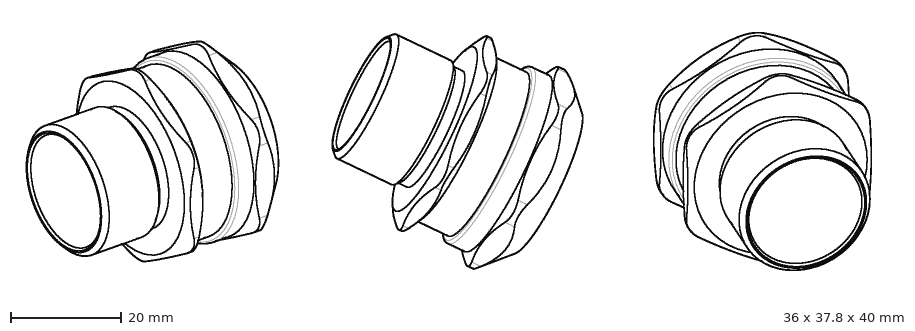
import cadquery as cq
import math


spigot_length = 15.0
spigot_radius = 25.0 / 2
spigot_end_chamfer = 1.0
groove_length = 2.0
groove_radius = 23.4 / 2
groove_runout = spigot_radius - groove_radius

recess_mouth_radius = 22.4 / 2
recess_floor_radius = 21.6 / 2
recess_depth = 0.5

body_hex_width = 35.0
body_hex_length = 4.0
body_radius = 33.0 / 2
body_length = 6.75

collar_radius = 35.5 / 2
collar_length = 4.0
collar_fillet = 0.5
nut_hex_width = 36.0
nut_hex_length = 8.0
nut_back_radius = 28.9 / 2
nut_taper_angle = 45.0

hex_sides = 6
half_sector = 180 / hex_sides
hex_corner_radius = 5.0
hex_chamfer_angle = 30.0

spigot_end = -spigot_length
body_hex_back = body_hex_length
collar_front = body_hex_back + body_length
collar_back = collar_front + collar_length
nut_back = collar_back + nut_hex_length


def revolve_profile(points):
    """Turn an outline of (radius, y) points about the Y axis."""
    return cq.Workplane("XY").polyline(points).close().revolve(360, (0, 0, 0), (0, 1, 0))


def cylinder(radius, y_start, y_end):
    return revolve_profile([(0, y_start), (radius, y_start), (radius, y_end), (0, y_end)])


def turned_hexagon(width, y_start, y_end, front_radius, front_angle, back_radius, back_angle):
    """Hexagon with rounded corners and flats facing X, turned conically at both ends.

    Each cone starts at its end radius and runs outward at its angle from the end face.
    """
    length = y_end - y_start
    corner_diameter = width / math.cos(math.radians(half_sector))
    prism = (
        cq.Workplane("XZ", origin=(0, y_end, 0))
        .transformed(rotate=(0, 0, half_sector))
        .polygon(hex_sides, corner_diameter)
        .extrude(length)
        .edges("|Y")
        .fillet(hex_corner_radius)
    )
    front_slope = math.tan(math.radians(front_angle))
    back_slope = math.tan(math.radians(back_angle))
    front_cone = revolve_profile([
        (0, y_start),
        (front_radius, y_start),
        (front_radius + length / front_slope, y_end),
        (0, y_end),
    ])
    back_cone = revolve_profile([
        (0, y_start),
        (back_radius + length / back_slope, y_start),
        (back_radius, y_end),
        (0, y_end),
    ])
    return prism.intersect(front_cone).intersect(back_cone)


def make_spigot():
    groove_end = -groove_length
    spigot = revolve_profile([
        (0, spigot_end),
        (spigot_radius - spigot_end_chamfer, spigot_end),
        (spigot_radius, spigot_end + spigot_end_chamfer),
        (spigot_radius, groove_end - groove_runout),
        (groove_radius, groove_end),
        (groove_radius, 0),
        (0, 0),
    ])
    recess = revolve_profile([
        (0, spigot_end),
        (recess_mouth_radius, spigot_end),
        (recess_floor_radius, spigot_end + recess_depth),
        (0, spigot_end + recess_depth),
    ])
    return spigot.cut(recess)


def make_body():
    hexagon = turned_hexagon(
        body_hex_width, 0, body_hex_back,
        body_radius, hex_chamfer_angle, body_radius, hex_chamfer_angle,
    )
    return hexagon.union(cylinder(body_radius, body_hex_back, collar_front))


def make_cap_nut():
    collar = cylinder(collar_radius, collar_front, collar_back)
    collar = collar.faces("<Y").edges().fillet(collar_fillet)
    hexagon = turned_hexagon(
        nut_hex_width, collar_back, nut_back,
        collar_radius, hex_chamfer_angle, nut_back_radius, nut_taper_angle,
    )
    return collar.union(hexagon)


result = make_spigot().union(make_body()).union(make_cap_nut())